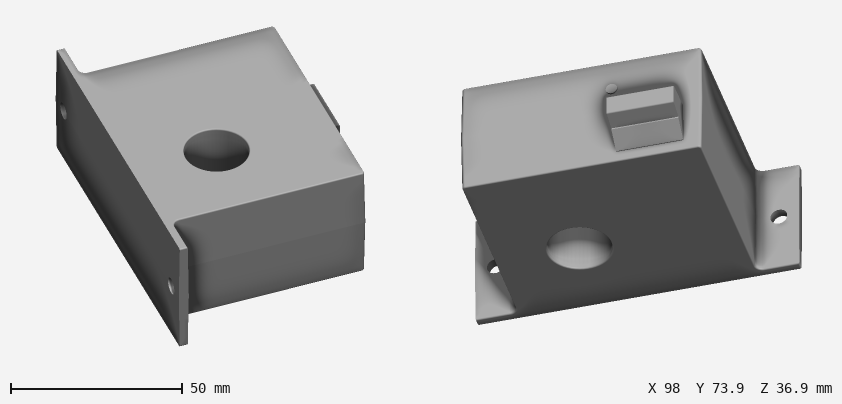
import cadquery as cq

flange_length = 98.0
overall_depth = 73.9
height = 36.9

half_height = height / 2
draft_angle = 1.0
body_width = 73.0
body_depth = 63.6
flange_thickness = 3.1
end_allowance = 1.0
inner_corner_radius = 2.0
back_corner_radius = 1.0
rim_radius = 0.5

window_x = 10.7
window_y = 26.9
window_diameter = 19.1

mount_hole_spacing = 85.75
mount_hole_diameter = 5.1

connector_x = -20.8
connector_width = 20.3
connector_top_z = -2.45
connector_tip_drop = 0.3
connector_tip_bottom_z = -8.8
connector_step_y = 68.7
connector_step_top_z = -10.5
connector_step_bottom_z = -10.9
connector_foot_z = -15.1
connector_edge_radius = 0.5

indicator_x = -9.3
indicator_z = 8.2
indicator_diameter = 3.4
indicator_projection = 0.4

embed_depth = 2.0


def housing_half(direction):
    """One T-shaped half of the housing; direction is +1 (upper) or -1 (lower)."""
    end_x = flange_length / 2 + end_allowance
    body_x = body_width / 2
    corner_x = body_x + inner_corner_radius
    corner_y = flange_thickness + inner_corner_radius
    outline = (
        cq.Workplane("XY")
        .moveTo(-end_x, 0)
        .lineTo(end_x, 0)
        .lineTo(end_x, flange_thickness)
        .lineTo(corner_x, flange_thickness)
        .radiusArc((body_x, corner_y), inner_corner_radius)
        .lineTo(body_x, body_depth)
        .lineTo(-body_x, body_depth)
        .lineTo(-body_x, corner_y)
        .radiusArc((-corner_x, flange_thickness), inner_corner_radius)
        .lineTo(-end_x, flange_thickness)
        .close()
    )
    half = outline.extrude(direction * half_height, taper=draft_angle)
    square_ends = cq.Workplane("XY").box(flange_length, 2 * overall_depth, 2 * height)
    half = half.intersect(square_ends)

    face_name = ">Z" if direction > 0 else "<Z"
    half = half.faces(">Y").edges("not |X").fillet(back_corner_radius)
    rim = half.faces(face_name).edges("not <Y")
    return rim.fillet(rim_radius)


def add_window(housing):
    """Through hole along Z with both rims rounded."""
    top = housing.faces(">Z").workplane(origin=(window_x, window_y, half_height))
    bored = top.hole(window_diameter)
    return bored.faces("|Z").edges("%CIRCLE").edges(cq.selectors.RadiusNthSelector(-1)).fillet(rim_radius)


def mounting_holes():
    """Cutters for the two flange holes, along Y on the parting plane."""
    half_spacing = mount_hole_spacing / 2
    return (
        cq.Workplane("XZ", origin=(0, 2 * flange_thickness, 0))
        .pushPoints([(-half_spacing, 0), (half_spacing, 0)])
        .circle(mount_hole_diameter / 2)
        .extrude(3 * flange_thickness)
    )


def connector():
    """Terminal connector with a stepped, sloping underside."""
    root_y = body_depth - embed_depth
    profile = (
        cq.Workplane("YZ", origin=(connector_x - connector_width / 2, 0, 0))
        .moveTo(root_y, connector_top_z)
        .lineTo(body_depth, connector_top_z)
        .lineTo(overall_depth, connector_top_z - connector_tip_drop)
        .lineTo(overall_depth, connector_tip_bottom_z)
        .lineTo(connector_step_y, connector_step_top_z)
        .lineTo(connector_step_y, connector_step_bottom_z)
        .lineTo(body_depth, connector_foot_z)
        .lineTo(root_y, connector_foot_z)
        .close()
    )
    return profile.extrude(connector_width).faces(">Y").edges("|X").fillet(connector_edge_radius)


def indicator():
    """Round indicator standing slightly proud of the back face."""
    return (
        cq.Workplane("XZ", origin=(indicator_x, body_depth + indicator_projection, indicator_z))
        .circle(indicator_diameter / 2)
        .extrude(embed_depth)
    )


housing = housing_half(1).union(housing_half(-1))
housing = add_window(housing)
housing = housing.cut(mounting_holes())
result = housing.union(connector()).union(indicator())